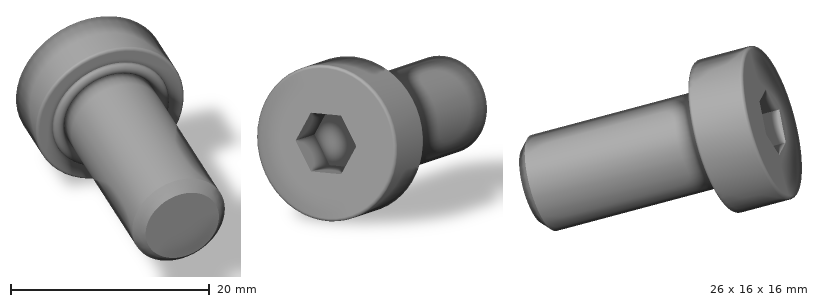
import cadquery as cq

total_length = 26.0
head_diameter = 16.0
head_thickness = 6.0
head_edge_radius = 0.3
shank_diameter = 10.0
tip_chamfer = 1.05

socket_across_flats = 6.0
socket_depth = 4.0
corner_turn = 90

ring_section_diameter = 1.3
ring_protrusion = 0.5

shank_radius = shank_diameter / 2
ring_section_radius = ring_section_diameter / 2
ring_center_radius = shank_radius + ring_section_radius
groove_diameter = shank_diameter + 2 * ring_section_diameter
groove_depth = ring_section_diameter - ring_protrusion
groove_floor_x = head_thickness - groove_depth


def disc(start_x, length, diameter):
    """Cylinder on the X axis, growing toward +X from start_x."""
    return cq.Workplane("YZ", origin=(start_x, 0, 0)).circle(diameter / 2).extrude(length)


def make_socket():
    """Hexagonal prism with two flats facing +Z and -Z, and two corners on +Y and -Y."""
    return (
        cq.Workplane("YZ")
        .polygon(6, socket_across_flats, circumscribed=True)
        .extrude(socket_depth)
        .rotate((0, 0, 0), (1, 0, 0), corner_turn)
    )


def make_screw():
    """Round-edged head with socket and ring groove, on a chamfered shank."""
    head = disc(0, head_thickness, head_diameter).edges().fillet(head_edge_radius)
    groove = disc(groove_floor_x, groove_depth, groove_diameter)
    shank_length = total_length - groove_floor_x
    shank = disc(groove_floor_x, shank_length, shank_diameter).faces(">X").chamfer(tip_chamfer)
    return head.cut(groove).union(shank).cut(make_socket())


def make_sealing_ring():
    """Ring of round section, resting on the groove floor around the shank."""
    ring_center_x = groove_floor_x + ring_section_radius
    return cq.Solid.makeTorus(
        ring_center_radius,
        ring_section_radius,
        cq.Vector(ring_center_x, 0, 0),
        cq.Vector(1, 0, 0),
    )


screw = make_screw()
sealing_ring = make_sealing_ring()

result = cq.Compound.makeCompound([screw.val(), sealing_ring])